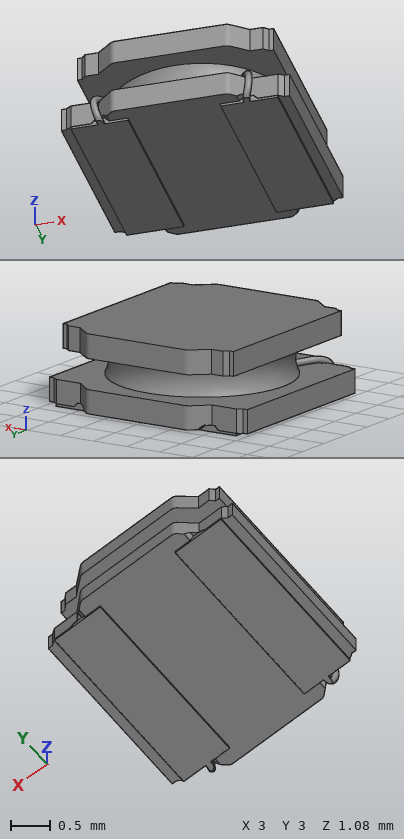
import cadquery as cq

pad_height = 0.033
base_thickness = 0.318
core_height = 0.405
cap_thickness = 0.325
base_bottom = pad_height
base_top = base_bottom + base_thickness
cap_bottom = base_top + core_height

half_length = 1.5
base_half_width = 1.5
cap_half_width = 1.29
side_half_length = 1.24
base_shoulder_y = 1.287
cap_shoulder_y = 1.3
base_step_x = 0.07
cap_step_x = 0.06
notch_inner_x = 0.995
slope_end_x = 0.785
slope_end_y = 1.475
front_flat_half = 0.717

core_end_radius = 1.233
core_waist_radius = 1.182

pad_half_length = 1.293
pad_inner_x = 0.61
pad_outer_x = 1.36
groove_center_x = 0.975
groove_half_width = 0.12
groove_slope_width = 0.057
groove_depth = 0.055

wire_radius = 0.045
foot_y = -1.23
foot_z = 0.042


def plate(half_width, shoulder_y, step_x, bottom, thickness):
    """Plate with a small step and a sloped notch at each corner."""
    corner = [
        (half_width, side_half_length),
        (half_width - step_x, side_half_length),
        (half_width - 2 * step_x, shoulder_y),
        (notch_inner_x, shoulder_y),
        (slope_end_x, slope_end_y),
    ]
    outline = (
        cq.Workplane("XY", origin=(0, 0, bottom))
        .moveTo(0, half_length)
        .lineTo(front_flat_half, half_length)
        .tangentArcPoint((slope_end_x, slope_end_y), relative=False)
    )
    for point in reversed(corner[:-1]):
        outline = outline.lineTo(*point)
    quarter = outline.lineTo(half_width, 0).lineTo(0, 0).close().extrude(thickness)
    half = quarter.union(quarter.mirror("YZ"))
    return half.union(half.mirror("XZ")).clean()


def core():
    """Round core with a concave side between the two plates."""
    return (
        cq.Workplane("XZ")
        .moveTo(0, base_top)
        .lineTo(core_end_radius, base_top)
        .threePointArc(
            (core_waist_radius, base_top + core_height / 2),
            (core_end_radius, cap_bottom),
        )
        .lineTo(0, cap_bottom)
        .close()
        .revolve(360, (0, 0, 0), (0, 1, 0))
    )


def groove(side, half_run):
    """Trapezoidal channel along Y, opening at the underside of the base."""
    center = side * groove_center_x
    top_half = groove_half_width - groove_slope_width
    return (
        cq.Workplane("XZ")
        .polyline([
            (center - groove_half_width, base_bottom),
            (center + groove_half_width, base_bottom),
            (center + top_half, base_bottom + groove_depth),
            (center - top_half, base_bottom + groove_depth),
        ])
        .close()
        .extrude(half_run, both=True)
    )


def pad(side):
    """Flat solder pad under one side of the base."""
    return (
        cq.Workplane("XY")
        .center(side * (pad_inner_x + pad_outer_x) / 2, 0)
        .rect(pad_outer_x - pad_inner_x, 2 * pad_half_length)
        .extrude(pad_height)
    )


def wire(points):
    """Round wire swept along a smooth path, cut flat at the mounting face."""
    path_points = [cq.Vector(*point) for point in points]
    path = cq.Workplane("XY").spline(path_points)
    start_plane = cq.Plane(origin=points[0], normal=path.val().tangentAt(0))
    swept = cq.Workplane(start_plane).circle(wire_radius).sweep(path)
    above_face = cq.Workplane("XY").box(
        2 * base_half_width, 2 * half_length, cap_bottom, centered=(True, True, False)
    )
    return swept.intersect(above_face)


left_wire_path = [
    (-0.775, -0.87, 0.405),
    (-0.888, -1.08, 0.402),
    (-0.99, -1.27, 0.387),
    (-1.025, -1.385, 0.305),
    (-1.01, -1.42, 0.18),
    (-0.978, -1.385, 0.057),
    (-0.97, foot_y, foot_z),
]
right_wire_path = [
    (0.785, -0.885, 0.558),
    (0.89, -1.15, 0.485),
    (0.985, -1.338, 0.378),
    (1.015, -1.425, 0.24),
    (1.002, -1.422, 0.12),
    (0.975, -1.38, 0.042),
    (0.957, foot_y, foot_z),
]

base = plate(base_half_width, base_shoulder_y, base_step_x, base_bottom, base_thickness)
cap = plate(cap_half_width, cap_shoulder_y, cap_step_x, cap_bottom, cap_thickness)

for side in (-1, 1):
    base = base.cut(groove(side, half_length))
for side in (-1, 1):
    base = base.union(groove(side, pad_half_length)).union(pad(side))

result = base.union(core()).union(cap)
for wire_path in (left_wire_path, right_wire_path):
    result = result.union(wire(wire_path))